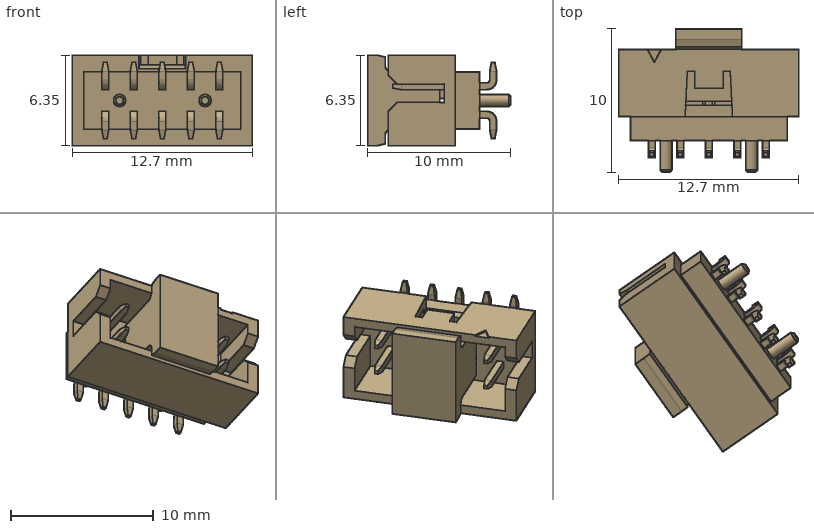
import cadquery as cq
import math


shroud_width = 12.65
shroud_height = 6.35
shroud_depth = 4.7
side_wall = 0.82
top_wall = 0.66
front_wall = 0.78
top_z = shroud_height / 2

base_width = 11.0
base_height = 4.01
base_depth = 1.7

slot_centre_z = 0.5
slot_half_height = 0.65
slot_flare = 0.62

recess_length = 3.19
recess_front_half_width = 1.66
recess_back_half_width = 1.5
recess_floor_depth = 0.94
tab_width = 2.0
tab_length = 1.21

mark_x = -3.82
mark_width = 0.96
mark_length = 0.9
mark_depth = 0.1

pitch = 2.0
columns = 5
row_z = pitch / 2
contact_size = 0.49
contact_tip_size = 0.25
contact_tip_length = 0.62
contact_reach = 1.2
contact_top_z = 2.67
contact_inset = 0.3
bend_inner_radius = 0.2
bend_outer_radius = bend_inner_radius + contact_size

peg_diameter = 0.85
peg_length = 2.2
peg_chamfer = 0.15
peg_x = 1.5 * pitch

cap_width = 4.64
cap_overhang = 1.44
flange_thickness = 1.24
flange_bevel_length = 0.5
flange_bevel_drop = 0.13
neck_half_height = 1.97
neck_fillet_radius = 0.48
post_size = 0.82
post_bottom_z = 0.14
cap_gap = 0.3

base_front_y = -base_depth
cap_back_y = shroud_depth + cap_overhang
cap_front_y = front_wall + cap_gap


def block(width, height, y_start, y_end, centre_z=0.0):
    """Box centred on X = 0, spanning y_start to y_end."""
    depth = y_end - y_start
    return cq.Workplane("XY").box(width, depth, height).translate((0, y_start + depth / 2, centre_z))


def side_slot():
    """Slot along X through both side walls, flared at the open end."""
    mouth_half_height = slot_half_height + slot_flare
    flare_y = shroud_depth - slot_flare
    return (
        cq.Workplane("YZ")
        .moveTo(front_wall, slot_centre_z - slot_half_height)
        .lineTo(flare_y, slot_centre_z - slot_half_height)
        .lineTo(shroud_depth, slot_centre_z - mouth_half_height)
        .lineTo(shroud_depth, slot_centre_z + mouth_half_height)
        .lineTo(flare_y, slot_centre_z + slot_half_height)
        .lineTo(front_wall, slot_centre_z + slot_half_height)
        .close()
        .extrude(shroud_width / 2, both=True)
    )


def keying_recess():
    """Tapered recess that breaks into the cavity and leaves the tab standing."""
    outline = [
        (-recess_front_half_width, 0),
        (recess_front_half_width, 0),
        (recess_back_half_width, recess_length),
        (-recess_back_half_width, recess_length),
    ]
    recess = cq.Workplane("XY").workplane(offset=top_z).polyline(outline).close().extrude(-recess_floor_depth)
    tab = block(tab_width, shroud_height, recess_length - tab_length, recess_length)
    return recess.cut(tab)


def pin_one_mark():
    outline = [
        (mark_x - mark_width / 2, shroud_depth),
        (mark_x + mark_width / 2, shroud_depth),
        (mark_x, shroud_depth - mark_length),
    ]
    return cq.Workplane("XY").workplane(offset=top_z).polyline(outline).close().extrude(-mark_depth)


def make_housing():
    shroud = block(shroud_width, shroud_height, 0, shroud_depth)
    cavity = block(shroud_width - 2 * side_wall, shroud_height - 2 * top_wall, front_wall, shroud_depth)
    base = block(base_width, base_height, base_front_y, 0)
    return shroud.cut(cavity).cut(side_slot()).cut(keying_recess()).cut(pin_one_mark()).union(base)


def contact_tip():
    """Square tip that narrows upwards from Z = 0."""
    taper = math.degrees(math.atan2((contact_size - contact_tip_size) / 2, contact_tip_length))
    return cq.Workplane("XY").rect(contact_size, contact_size).extrude(contact_tip_length, taper=taper)


def upper_contact():
    """Contact of the upper row at X = 0, bent upwards outside the base."""
    half = contact_size / 2
    outer_y = base_front_y - contact_reach
    inner_y = outer_y + contact_size
    bend_y = outer_y + bend_outer_radius
    bend_z = row_z - half + bend_outer_radius
    shank_top_z = contact_top_z - contact_tip_length
    shank_back_y = shroud_depth - contact_inset - contact_tip_length
    diagonal = math.sqrt(0.5)
    shank = (
        cq.Workplane("YZ")
        .moveTo(shank_back_y, row_z - half)
        .lineTo(bend_y, row_z - half)
        .threePointArc(
            (bend_y - bend_outer_radius * diagonal, bend_z - bend_outer_radius * diagonal),
            (outer_y, bend_z),
        )
        .lineTo(outer_y, shank_top_z)
        .lineTo(inner_y, shank_top_z)
        .lineTo(inner_y, bend_z)
        .threePointArc(
            (bend_y - bend_inner_radius * diagonal, bend_z - bend_inner_radius * diagonal),
            (bend_y, row_z + half),
        )
        .lineTo(shank_back_y, row_z + half)
        .close()
        .extrude(half, both=True)
    )
    solder_tip = contact_tip().translate((0, outer_y + half, shank_top_z))
    mating_tip = contact_tip().rotate((0, 0, 0), (1, 0, 0), -90).translate((0, shank_back_y, row_z))
    return shank.union(solder_tip).union(mating_tip)


def peg():
    """Locating peg at X = 0, chamfered at its free end."""
    return (
        cq.Workplane("XZ", origin=(0, base_front_y, 0))
        .circle(peg_diameter / 2)
        .extrude(peg_length)
        .faces("<Y")
        .chamfer(peg_chamfer)
    )


def make_cap():
    """Cap with a full-height flange, a neck filling the cavity and a stop post."""
    flange_front_y = cap_back_y - flange_thickness
    bevel_y = flange_front_y + flange_bevel_length
    bevel_z = top_z - flange_bevel_drop
    fillet_y = flange_front_y - neck_fillet_radius
    fillet_z = neck_half_height + neck_fillet_radius
    diagonal = neck_fillet_radius * math.sqrt(0.5)
    upper_half = (
        cq.Workplane("YZ")
        .moveTo(cap_front_y, 0)
        .lineTo(cap_front_y, neck_half_height)
        .lineTo(fillet_y, neck_half_height)
        .threePointArc((fillet_y + diagonal, fillet_z - diagonal), (flange_front_y, fillet_z))
        .lineTo(flange_front_y, bevel_z)
        .lineTo(bevel_y, top_z)
        .lineTo(cap_back_y, top_z)
        .lineTo(cap_back_y, 0)
        .close()
        .extrude(cap_width / 2, both=True)
    )
    post = block(post_size, post_size, front_wall, cap_front_y, post_bottom_z + post_size / 2)
    return upper_half.union(upper_half.mirror("XY")).union(post)


result = make_housing().union(make_cap())

contact = upper_contact()
contact_pair = contact.union(contact.mirror("XY"))
for column in range(columns):
    column_x = (column - (columns - 1) / 2) * pitch
    result = result.union(contact_pair.translate((column_x, 0, 0)))

for x in (-peg_x, peg_x):
    result = result.union(peg().translate((x, 0, 0)))